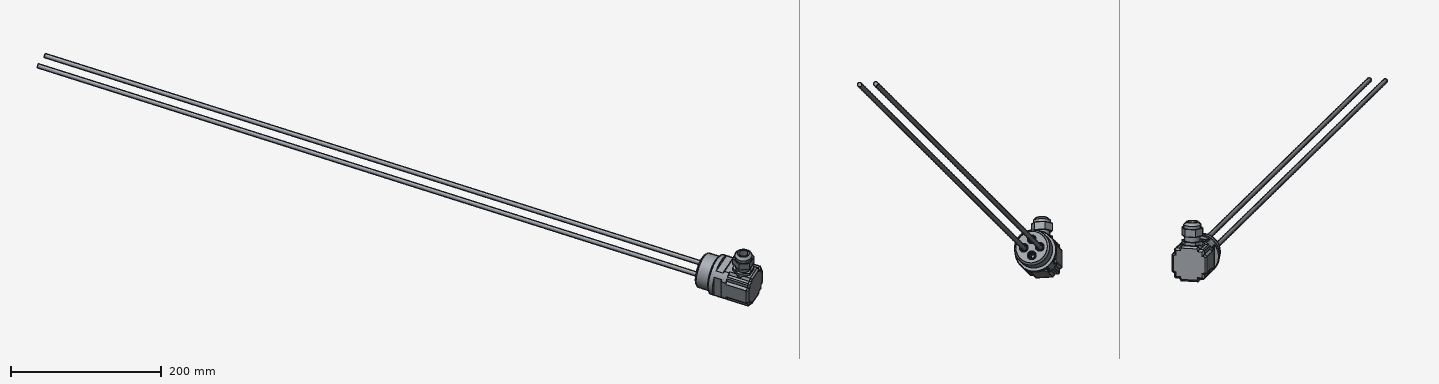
import cadquery as cq
import math

total_length = 1044.0
thread_start = 966.0
flange_start = 988.0
flange_end = 994.0
cover_start = 1004.0
corner_step_start = 1012.0

thread_diameter = 48.0
thread_chamfer = 2.6
flange_diameter = 55.0
body_flat_width = 45.0
cover_flat_width = 48.0
core_width = 41.0
pad_face_width = 23.0
pad_base_width = 28.0
cover_chamfer = 2.6

rod_diameter = 6.0
socket_diameter = 11.0
socket_depth = 2.0
insulator_diameter = 9.0
insulator_depth = 4.0
rod_hole_depth = 10.0
socket_spacing = 22.0
socket_offset = socket_spacing / 2

gland_x = 1026.0
overall_height = 81.0
gland_top = overall_height - flange_diameter / 2
gland_hex_flats = 25.0
gland_hex_corners = gland_hex_flats / math.cos(math.radians(30))
neck_diameter = 21.0
cap_diameter = 23.0
cap_chamfer = 3.7
lower_nut_top = 28.0
upper_nut_bottom = 35.0
upper_nut_top = 46.0
cable_bore_diameter = 11.0
cable_bore_depth = 13.0


def section_at(x):
    """Workplane across the part at x, with local x along Y and local y along Z."""
    return cq.Workplane("YZ", origin=(x, 0, 0))


def level_at(z):
    """Horizontal workplane on the gland axis at height z."""
    return cq.Workplane("XY", origin=(gland_x, 0, z))


def flatted_round(start, end, flat_width):
    """Flange-sized round with four flats."""
    length = end - start
    round_bar = section_at(start).circle(flange_diameter / 2).extrude(length)
    return round_bar.intersect(section_at(start).rect(flat_width, flat_width).extrude(length))


def make_thread():
    """Threaded end as a plain round, chamfered at both ends."""
    thread = section_at(thread_start).circle(thread_diameter / 2).extrude(flange_start - thread_start)
    return thread.edges("%CIRCLE").chamfer(thread_chamfer)


def pad_bar(length):
    """Bar reaching two opposite sides, its flanks flaring from the core to meet both pads."""
    face_z = cover_flat_width / 2
    core_z = core_width / 2
    upper = [(-pad_base_width / 2, core_z), (-pad_face_width / 2, face_z)]
    upper += [(-y, z) for y, z in reversed(upper)]
    lower = [(-y, -z) for y, z in upper]
    return section_at(corner_step_start).polyline(upper + lower).close().extrude(length)


def make_cover():
    """Flatted collar followed by a square core with a raised pad on each side."""
    collar = flatted_round(cover_start, corner_step_start, cover_flat_width)
    length = total_length - corner_step_start
    bar = pad_bar(length).faces(">X").chamfer(cover_chamfer)
    core = section_at(corner_step_start).rect(core_width, core_width).extrude(length)
    core = core.faces(">X").chamfer(cover_chamfer)
    block = core.intersect(section_at(corner_step_start).circle(flange_diameter / 2).extrude(length))
    block = block.union(bar).union(bar.rotate((0, 0, 0), (1, 0, 0), 90))
    return collar.union(block)


def hex_nut(bottom, top):
    """Nut with corners pointing along Y."""
    nut = level_at(bottom).polygon(6, gland_hex_corners).extrude(top - bottom)
    return nut.rotate((gland_x, 0, 0), (gland_x, 0, 1), 90)


def make_gland():
    """Neck rising from the body axis, with two nuts and a chamfered cap."""
    gland = level_at(0).circle(neck_diameter / 2).extrude(upper_nut_top)
    gland = gland.union(hex_nut(core_width / 2, lower_nut_top))
    gland = gland.union(hex_nut(upper_nut_bottom, upper_nut_top))
    cap = level_at(upper_nut_top).circle(cap_diameter / 2).extrude(gland_top - upper_nut_top)
    return gland.union(cap.faces(">Z").chamfer(cap_chamfer))


def end_face_cylinders(centres, diameter, depth):
    """Cylinders running inward from the thread's end face."""
    return section_at(thread_start).pushPoints(centres).circle(diameter / 2).extrude(depth)


result = make_thread()
result = result.union(section_at(flange_start).circle(flange_diameter / 2).extrude(flange_end - flange_start))
result = result.union(flatted_round(flange_end, cover_start, body_flat_width))
result = result.union(make_cover()).union(make_gland())

cable_bore = level_at(gland_top).circle(cable_bore_diameter / 2).extrude(-cable_bore_depth)
result = result.cut(cable_bore)

rod_centres = [(socket_offset, 0), (-socket_offset, 0)]
spare_centres = [(0, socket_offset), (0, -socket_offset)]
all_centres = rod_centres + spare_centres
result = result.cut(end_face_cylinders(all_centres, socket_diameter, socket_depth))
result = result.cut(end_face_cylinders(all_centres, insulator_diameter, insulator_depth))
result = result.cut(end_face_cylinders(spare_centres, rod_diameter, rod_hole_depth))

rods = section_at(0).pushPoints(rod_centres).circle(rod_diameter / 2).extrude(thread_start + rod_hole_depth)
result = result.union(rods)